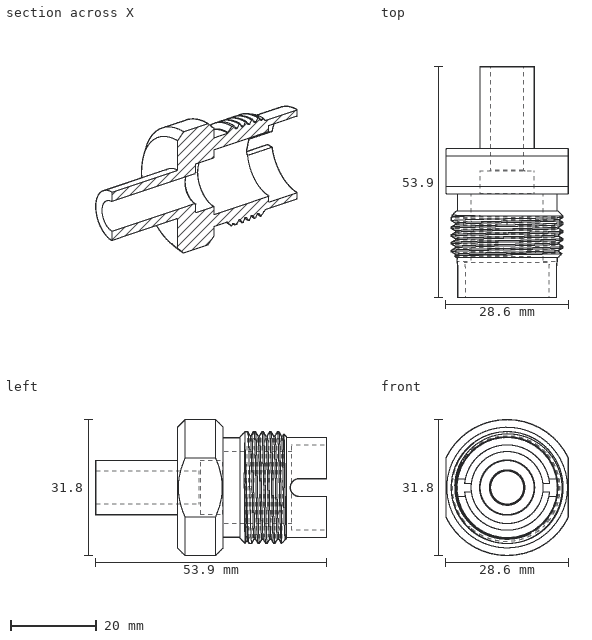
import cadquery as cq
import math

overall_length = 53.85

stub_length = 19.05
stub_radius = 12.7 / 2

collar_radius = 31.75 / 2
collar_back = overall_length - stub_length
collar_length = 10.7
collar_front = collar_back - collar_length
collar_chamfer = 1.8
across_flats = 28.575

mouth_radius = 11.7
neck_radius = 11.65

thread_front = 9.3
thread_back = 20.2
thread_radius = 26.1 / 2
thread_chamfer = 1.2
thread_pitch = 25.4 / 14
groove_depth = 0.98
groove_floor_width = 0.35
groove_mouth_width = thread_pitch - groove_floor_width
groove_start = 19.46

mouth_bore_radius = 9.95
mouth_bore_depth = 8.2
middle_bore_radius = 8.4
middle_bore_depth = collar_front
socket_radius = 6.3
socket_depth = collar_front + collar_length / 2
socket_chamfer = 0.15
through_radius = 3.85
through_chamfer = 0.3

slot_width = 4.1
slot_depth = 8.45


def disc(radius, start, end):
    """Cylinder on the Y axis between two Y positions."""
    return cq.Workplane("XZ", origin=(0, end, 0)).circle(radius).extrude(end - start)


def make_collar():
    collar = disc(collar_radius, collar_front, collar_back).faces("|Y").edges().chamfer(collar_chamfer)
    flats = cq.Workplane("XY").box(across_flats, 2 * overall_length, 3 * collar_radius)
    return collar.intersect(flats)


def sweep_groove(path, floor_radius):
    """Sweep the V-shaped groove section, its floor at floor_radius, along a helix about Z."""
    overcut = 0.2
    flank_slope = (groove_mouth_width - groove_floor_width) / groove_depth
    floor_half = groove_floor_width / 2
    mouth_half = (groove_mouth_width + flank_slope * overcut) / 2
    outer_radius = floor_radius + groove_depth + overcut
    return (
        cq.Workplane("XZ")
        .moveTo(floor_radius, -floor_half)
        .lineTo(outer_radius, -mouth_half)
        .lineTo(outer_radius, mouth_half)
        .lineTo(floor_radius, floor_half)
        .close()
        .sweep(cq.Workplane(path), isFrenet=True)
    )


def place_groove(cutter, start):
    """Lay the helix axis along -Y and put the beginning of the groove on the +Z side."""
    along_y = cutter.rotate((0, 0, 0), (1, 0, 0), 90)
    return along_y.rotate((0, 0, 0), (0, 1, 0), -90).translate((0, start, 0))


def make_lead_in():
    """First turn of the right-handed groove, deepening along a cone from nothing to full depth."""
    taper = math.atan2(groove_depth, thread_pitch)
    slant_pitch = thread_pitch / math.cos(taper)
    path = cq.Wire.makeHelix(slant_pitch, slant_pitch, thread_radius, angle=-math.degrees(taper))
    return place_groove(sweep_groove(path, thread_radius), groove_start)


def make_full_groove():
    """Full-depth groove that runs out past the front of the band."""
    start = groove_start - thread_pitch
    root_radius = thread_radius - groove_depth
    path = cq.Wire.makeHelix(thread_pitch, start - thread_front + thread_pitch, root_radius)
    return place_groove(sweep_groove(path, root_radius), start)


def make_threaded_band():
    band = disc(thread_radius, thread_front, thread_back).faces("|Y").edges().chamfer(thread_chamfer)
    return band.cut(make_full_groove()).cut(make_lead_in())


def make_bore():
    """Stepped bore as one turned solid, with chamfered steps at the socket and through hole."""
    profile = [
        (0, 0),
        (mouth_bore_radius, 0),
        (mouth_bore_radius, mouth_bore_depth),
        (middle_bore_radius, mouth_bore_depth),
        (middle_bore_radius, middle_bore_depth),
        (socket_radius + socket_chamfer, middle_bore_depth),
        (socket_radius, middle_bore_depth + socket_chamfer),
        (socket_radius, socket_depth),
        (through_radius + through_chamfer, socket_depth),
        (through_radius, socket_depth + through_chamfer),
        (through_radius, overall_length),
        (0, overall_length),
    ]
    return cq.Workplane("XY").polyline(profile).close().revolve(360, (0, 0, 0), (0, 1, 0))


def make_slots():
    """One cutter through both sides of the mouth along X."""
    half_width = slot_width / 2
    arc_centre = slot_depth - half_width
    return (
        cq.Workplane("YZ")
        .moveTo(0, -half_width)
        .lineTo(arc_centre, -half_width)
        .threePointArc((slot_depth, 0), (arc_centre, half_width))
        .lineTo(0, half_width)
        .close()
        .extrude(collar_radius, both=True)
    )


mouth = disc(mouth_radius, 0, thread_back)
neck = disc(neck_radius, thread_back, collar_front)
stub = disc(stub_radius, collar_back, overall_length)
outside = mouth.union(neck).union(make_threaded_band()).union(make_collar()).union(stub)
result = outside.cut(make_bore()).cut(make_slots())